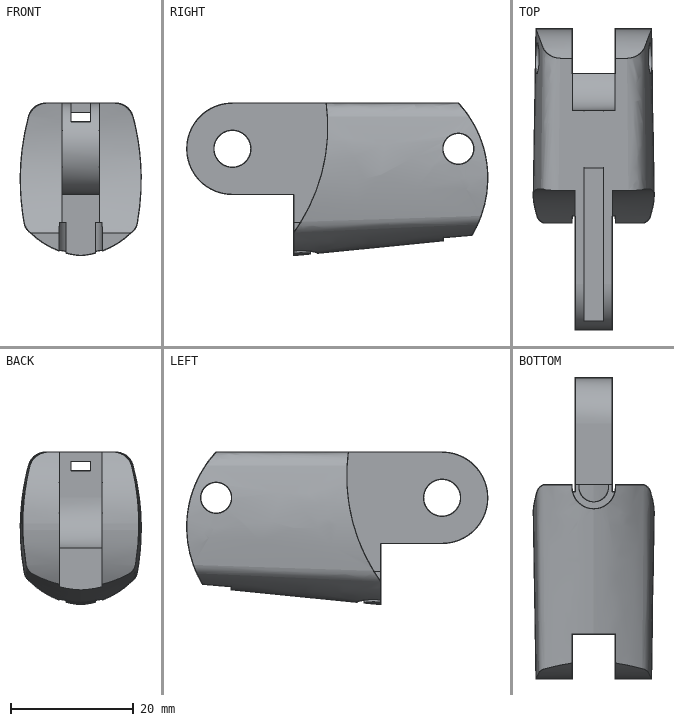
import cadquery as cq


pin_spacing = 37.0
tongue_radius = 7.5
tongue_width = 6.05
tongue_hole_diameter = 6.0
rear_hole_diameter = 5.05
pin_z = -tongue_radius
tongue_pin_y = -pin_spacing

body_width = 20.0
body_front_y = -27.0
body_rear_y = 4.85
body_length = body_rear_y - body_front_y
shoulder_top_y = -21.65
shoulder_bottom_z = -21.25
rear_crown_z = -11.75
rear_bottom_y = 2.05
rear_bottom_z = -21.9

gap_width = 7.0
gap_radius = 8.6
gap_lip_y = -2.45

slot_width = 3.15
slot_depth = 3.05
slot_inner_y = -17.95
tunnel_height = 1.5

groove_outer_radius = 3.55
groove_inner_radius = 2.4
groove_straight = 0.4
groove_top_z = -19.6

cut_margin = 4.95
cutter_width = body_width + 2 * cut_margin
cutter_bottom_z = -34.55


def centered_box(width, y_min, y_max, z_min, z_max):
    """Box centred on X = 0, spanning the given Y and Z ranges."""
    box = cq.Workplane("XY").box(width, y_max - y_min, z_max - z_min)
    return box.translate((0, (y_min + y_max) / 2, (z_min + z_max) / 2))


def cross_pin(diameter, y):
    """Cylinder along X at pin height."""
    pin = cq.Workplane("YZ").center(y, pin_z).circle(diameter / 2)
    return pin.extrude(cutter_width / 2, both=True)


def section(plane, top, top_mid, shoulder, side, hip, hip_mid, chin, belly, bottom_z):
    """Mirror-symmetric body section; points run down the right half as (x, z)."""

    def left(point):
        return (-point[0], point[1])

    return (
        plane.moveTo(*left(top))
        .lineTo(*top)
        .threePointArc(top_mid, shoulder)
        .threePointArc(side, hip)
        .threePointArc(hip_mid, chin)
        .threePointArc(belly, (0, bottom_z))
        .threePointArc(left(belly), left(chin))
        .threePointArc(left(hip_mid), left(hip))
        .threePointArc(left(side), left(shoulder))
        .threePointArc(left(top_mid), left(top))
        .close()
    )


def tapered_body():
    """Loft from the deep front section to the shallower, narrower rear one."""
    front = section(
        cq.Workplane("XZ", origin=(0, body_front_y, 0)),
        top=(5.7, 0),
        top_mid=(7.6, -0.65),
        shoulder=(8.65, -2.2),
        side=(body_width / 2, -11.85),
        hip=(9.3, -19.55),
        hip_mid=(9.0, -20.5),
        chin=(8.25, -21.25),
        belly=(4.55, -23.85),
        bottom_z=-25.0,
    )
    return section(
        front.workplane(offset=-body_length),
        top=(5.4, 0),
        top_mid=(7.25, -0.65),
        shoulder=(8.3, -2.2),
        side=(9.45, -11.35),
        hip=(8.95, -18.5),
        hip_mid=(8.65, -19.2),
        chin=(8.0, -19.85),
        belly=(4.45, -21.2),
        bottom_z=-21.85,
    ).loft(ruled=True, combine=True)


def rounded_ends():
    """Side outline with a convex rear and a concave upper front."""
    outline = (
        cq.Workplane("YZ")
        .moveTo(shoulder_top_y, 0)
        .lineTo(0, 0)
        .threePointArc((body_rear_y, rear_crown_z), (rear_bottom_y, rear_bottom_z))
        .lineTo(rear_bottom_y, cutter_bottom_z)
        .lineTo(body_front_y, cutter_bottom_z)
        .lineTo(body_front_y, shoulder_bottom_z)
        .threePointArc((-23.1, -13.8), (shoulder_top_y, 0))
        .close()
    )
    return outline.extrude(cutter_width / 2, both=True)


def tongue():
    """Round-ended tongue, with a web filling the body behind the concave front."""
    bar = centered_box(tongue_width, tongue_pin_y, slot_inner_y, 2 * pin_z, 0)
    web = centered_box(tongue_width, body_front_y, slot_inner_y, shoulder_bottom_z, 0)
    tip = cq.Workplane("YZ").center(tongue_pin_y, pin_z).circle(tongue_radius)
    return bar.union(web).union(tip.extrude(tongue_width / 2, both=True))


def clevis_gap():
    """Gap with a flat upper wall that curves out below the pin to a lip."""
    lip_z = pin_z - (gap_radius**2 - gap_lip_y**2) ** 0.5
    diagonal = gap_radius * 0.5**0.5
    outline = (
        cq.Workplane("YZ")
        .moveTo(-gap_radius, cut_margin)
        .lineTo(-gap_radius, pin_z)
        .threePointArc((-diagonal, pin_z - diagonal), (gap_lip_y, lip_z))
        .lineTo(gap_lip_y, cutter_bottom_z)
        .lineTo(body_rear_y + cut_margin, cutter_bottom_z)
        .lineTo(body_rear_y + cut_margin, cut_margin)
        .close()
    )
    return outline.extrude(gap_width / 2, both=True)


def cord_channel():
    """Open slot in the tongue, continued by a covered tunnel at its floor."""
    tip_y = tongue_pin_y - tongue_radius - cut_margin
    slot = centered_box(slot_width, tip_y, slot_inner_y, -slot_depth, cut_margin)
    tunnel = centered_box(slot_width, slot_inner_y, 0, -slot_depth, tunnel_height - slot_depth)
    return slot.union(tunnel)


def round_backed_block(radius):
    """Upright block from the front face with straight sides and a semicircular back."""
    center_y = body_front_y + groove_straight
    outline = (
        cq.Workplane("XY", origin=(0, 0, cutter_bottom_z))
        .moveTo(-radius, body_front_y)
        .lineTo(-radius, center_y)
        .threePointArc((0, center_y + radius), (radius, center_y))
        .lineTo(radius, body_front_y)
        .close()
    )
    return outline.extrude(groove_top_z - cutter_bottom_z)


def cord_groove():
    """U-shaped groove between two concentric round-backed walls."""
    return round_backed_block(groove_outer_radius).cut(round_backed_block(groove_inner_radius))


result = tapered_body().intersect(rounded_ends()).union(tongue())
result = result.cut(clevis_gap())
result = result.cut(cord_channel())
result = result.cut(cross_pin(rear_hole_diameter, 0))
result = result.cut(cross_pin(tongue_hole_diameter, tongue_pin_y))
result = result.cut(cord_groove())